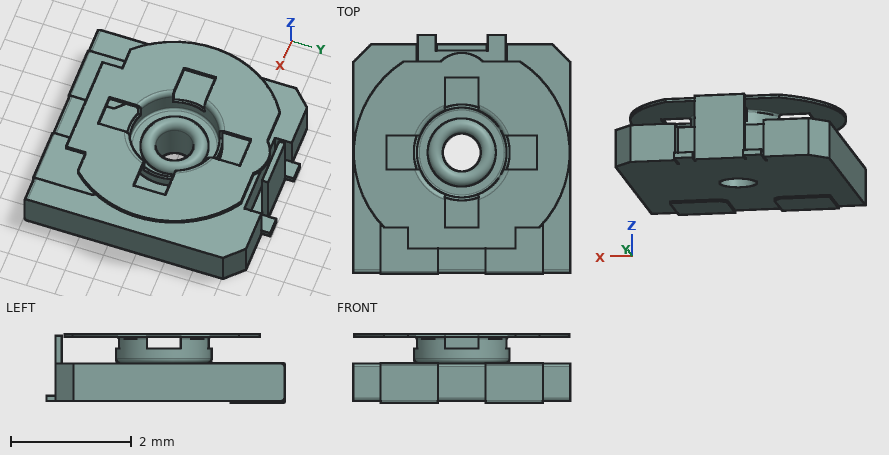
import cadquery as cq
import math


BODY_WIDTH = 3.6
BODY_FRONT = -2.0
BODY_BACK = 1.798
BODY_HEIGHT = 0.625
BODY_CORNER = 0.3
BODY_FRONT_ROUND = 0.055
HOLE_RADIUS = 0.313

TERMINAL_INNER_X = 0.395
TERMINAL_OUTER_X = 1.345
TERMINAL_PEAK_X = 0.867
TERMINAL_FRONT_PROUD = 0.01
TERMINAL_TOP_PROUD = 0.005
TERMINAL_OUTER_END_Y = -0.95
TERMINAL_PEAK_Y = -0.74
TERMINAL_INNER_END_Y = -1.21
TERMINAL_ROUND = 0.04
PAD_THICKNESS = 0.03
PAD_END_Y = -1.11

NOTCH_WIDTH = 1.495
NOTCH_FRONT = 1.5
STRAP_WIDTH = 1.465
STRAP_BACK = 1.95
STRAP_THICKNESS = 0.09
FOOT_GAP = 0.855
TAB_WIDTH = 0.83
TAB_FRONT = 1.69
TAB_TOP = 1.085

SHEET_THICKNESS = 0.05
ROTOR_HEIGHT = 0.49
ROTOR_TOP = BODY_HEIGHT + ROTOR_HEIGHT
PLATE_BOTTOM = ROTOR_TOP - SHEET_THICKNESS
PLATE_RADIUS = 1.79
PLATE_BACK = 1.513
PLATE_FRONT = -1.245
CUP_RADIUS = 0.795
CUP_INNER_RADIUS = CUP_RADIUS - SHEET_THICKNESS
CUP_FLOOR = BODY_HEIGHT + SHEET_THICKNESS
CUP_INNER_ROUND = 0.04
CUP_OUTER_ROUND = 0.08
RIM_INNER_ROUND = 0.087
RIM_OUTER_ROUND = RIM_INNER_ROUND - SHEET_THICKNESS
EYELET_RADIUS = 0.565
POINTER_RADIUS = 0.503
POINTER_TIP = 1.65
TAIL_WIDTH = 1.79
TAIL_FRONT = -1.59
CROSS_LENGTH = 2.495
CROSS_WIDTH = 0.56
CROSS_BOTTOM = 0.875


def block(x_range, y_range, z_range):
    """Box between the given limits along each axis."""
    sizes = [high - low for low, high in (x_range, y_range, z_range)]
    corner = (x_range[0], y_range[0], z_range[0])
    return cq.Workplane("XY").box(*sizes, centered=False).translate(corner)


def centred(width):
    """Limits of a width centred on zero."""
    return (-width / 2, width / 2)


def make_body():
    y_range = (BODY_FRONT, BODY_BACK)
    body = block(centred(BODY_WIDTH), y_range, (0, BODY_HEIGHT))
    body = body.edges("|Z and >Y").chamfer(BODY_CORNER)
    body = body.faces("<Y").edges("|X").fillet(BODY_FRONT_ROUND)
    notch = block(centred(NOTCH_WIDTH), (NOTCH_FRONT, BODY_BACK), (0, BODY_HEIGHT))
    return body.cut(notch)


def make_front_terminal():
    """Terminal on the +X side: wrapped strip with a pointed upper end."""
    top = BODY_HEIGHT + TERMINAL_TOP_PROUD
    front = BODY_FRONT - TERMINAL_FRONT_PROUD
    x_range = (TERMINAL_INNER_X, TERMINAL_OUTER_X)
    wrap = block(x_range, (front, TERMINAL_PEAK_Y), (-PAD_THICKNESS, top))
    wrap = wrap.faces("<Y").edges("|X").fillet(TERMINAL_ROUND)
    wrap = wrap.cut(block(x_range, (PAD_END_Y, TERMINAL_PEAK_Y), (-PAD_THICKNESS, 0)))
    outline = (
        cq.Workplane("XY")
        .workplane(offset=-PAD_THICKNESS)
        .moveTo(TERMINAL_INNER_X, front)
        .lineTo(TERMINAL_OUTER_X, front)
        .lineTo(TERMINAL_OUTER_X, TERMINAL_OUTER_END_Y)
        .lineTo(TERMINAL_PEAK_X, TERMINAL_PEAK_Y)
        .lineTo(TERMINAL_INNER_X, TERMINAL_INNER_END_Y)
        .close()
        .extrude(top + PAD_THICKNESS)
    )
    return wrap.intersect(outline)


def make_rear_terminal():
    thickness = (0, STRAP_THICKNESS)
    strap = block(centred(STRAP_WIDTH), (NOTCH_FRONT, STRAP_BACK), thickness)
    gap = block(centred(FOOT_GAP), (TAB_FRONT, STRAP_BACK), thickness)
    tab = block(centred(TAB_WIDTH), (TAB_FRONT, BODY_BACK), (0, TAB_TOP))
    return strap.cut(gap).union(tab)


def make_plate():
    plate = cq.Workplane("XY").circle(PLATE_RADIUS).extrude(SHEET_THICKNESS)
    thickness = (0, SHEET_THICKNESS)
    plate = plate.intersect(block(centred(2 * PLATE_RADIUS), (PLATE_FRONT, PLATE_BACK), thickness))
    pointer = (
        cq.Workplane("XY")
        .center(0, POINTER_TIP - POINTER_RADIUS)
        .circle(POINTER_RADIUS)
        .extrude(SHEET_THICKNESS)
    )
    tail = block(centred(TAIL_WIDTH), (TAIL_FRONT, PLATE_FRONT), thickness)
    bore = cq.Workplane("XY").circle(CUP_RADIUS + RIM_OUTER_ROUND).extrude(SHEET_THICKNESS)
    return plate.union(pointer).union(tail).cut(bore).translate((0, 0, PLATE_BOTTOM))


def arc_point(centre, radius, degrees):
    """Point of an arc, in the given direction from its centre."""
    angle = math.radians(degrees)
    return (centre[0] + radius * math.cos(angle), centre[1] + radius * math.sin(angle))


def make_cup():
    """Revolved cup: eyelet bead, floor, wall and the rolled rim under the plate."""
    bead_radius = (EYELET_RADIUS - HOLE_RADIUS) / 2
    bead_middle = HOLE_RADIUS + bead_radius
    rim_radius = CUP_RADIUS + RIM_OUTER_ROUND
    rim_centre = (rim_radius, PLATE_BOTTOM - RIM_OUTER_ROUND)
    inner_centre = (CUP_INNER_RADIUS - CUP_INNER_ROUND, CUP_FLOOR + CUP_INNER_ROUND)
    outer_centre = (CUP_RADIUS - CUP_OUTER_ROUND, BODY_HEIGHT + CUP_OUTER_ROUND)
    rim_outer_middle = arc_point(rim_centre, RIM_OUTER_ROUND, 135)
    rim_inner_middle = arc_point(rim_centre, RIM_INNER_ROUND, 135)
    inner_middle = arc_point(inner_centre, CUP_INNER_ROUND, -45)
    outer_middle = arc_point(outer_centre, CUP_OUTER_ROUND, -45)
    profile = (
        cq.Workplane("XZ")
        .moveTo(HOLE_RADIUS, BODY_HEIGHT)
        .lineTo(HOLE_RADIUS, CUP_FLOOR)
        .threePointArc((bead_middle, CUP_FLOOR + bead_radius), (EYELET_RADIUS, CUP_FLOOR))
        .lineTo(inner_centre[0], CUP_FLOOR)
        .threePointArc(inner_middle, (CUP_INNER_RADIUS, inner_centre[1]))
        .lineTo(CUP_INNER_RADIUS, rim_centre[1])
        .threePointArc(rim_inner_middle, (rim_radius, ROTOR_TOP))
        .lineTo(rim_radius, PLATE_BOTTOM)
        .threePointArc(rim_outer_middle, (CUP_RADIUS, rim_centre[1]))
        .lineTo(CUP_RADIUS, outer_centre[1])
        .threePointArc(outer_middle, (outer_centre[0], BODY_HEIGHT))
        .close()
    )
    return profile.revolve(360, (0, 0, 0), (0, 1, 0))


def make_rotor():
    rotor = make_plate().union(make_cup())
    slot = block(centred(CROSS_LENGTH), centred(CROSS_WIDTH), (CROSS_BOTTOM, ROTOR_TOP))
    for angle in (0, 90):
        rotor = rotor.cut(slot.rotate((0, 0, 0), (0, 0, 1), angle))
    return rotor


front_terminal = make_front_terminal()
hole = cq.Workplane("XY").circle(HOLE_RADIUS).extrude(ROTOR_TOP)
result = (
    make_body()
    .union(front_terminal)
    .union(front_terminal.mirror("YZ"))
    .union(make_rear_terminal())
    .union(make_rotor())
    .cut(hole)
)